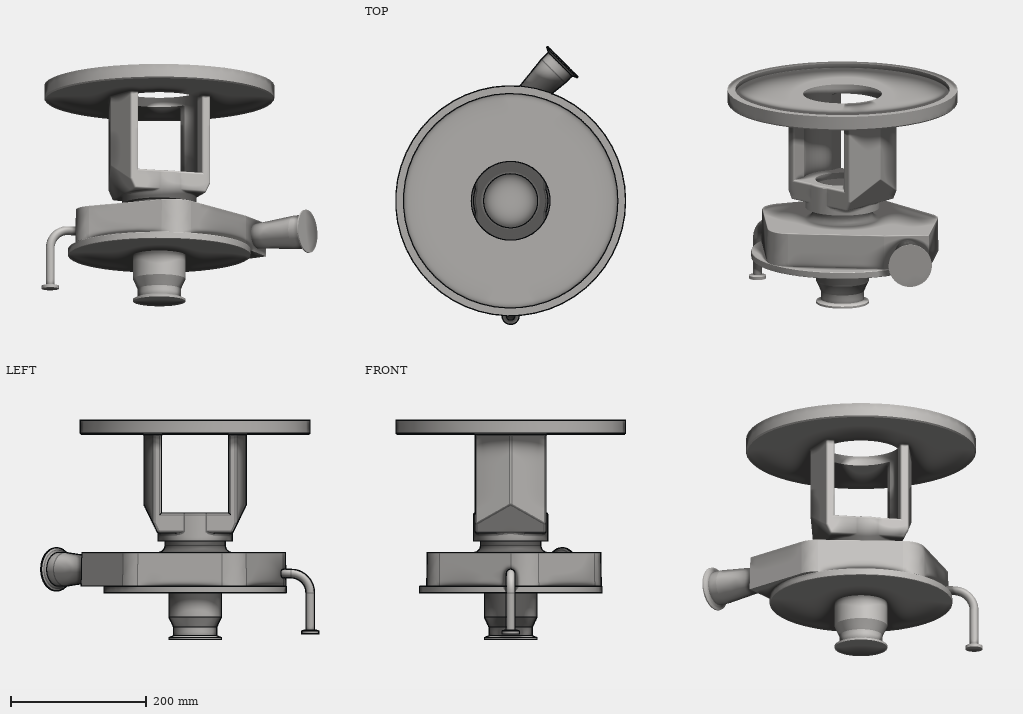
import cadquery as cq
import math

TOTAL_HEIGHT = 324.5
FLANGE_BOTTOM_Z = 69.0
FLANGE_THICKNESS = 10.0
HOUSING_HEIGHT = 50.0
NECK_HEIGHT = 16.7
FLANGE_TOP_Z = FLANGE_BOTTOM_Z + FLANGE_THICKNESS
HOUSING_TOP_Z = FLANGE_TOP_Z + HOUSING_HEIGHT
BOSS_BOTTOM_Z = HOUSING_TOP_Z + NECK_HEIGHT

DISC_RADIUS = 170.0
DISC_THICKNESS = 21.0
DISC_EDGE_CHAMFER = 2.0
DISC_RECESS_RADIUS = 158.5
DISC_RECESS_DEPTH = 7.0
DISC_RECESS_FILLET = 0.5
DISC_BORE_RADIUS = 58.2
DISC_BOTTOM_Z = TOTAL_HEIGHT - DISC_THICKNESS

YOKE_HALF_WIDTH = 52.5
YOKE_RIDGE_Y = 76.0
YOKE_CORNER_Y = 61.5
YOKE_FOOT_Y = 55.3
YOKE_BOTTOM_Z = 157.5
YOKE_SLOPE_TOP_Z = 200.0
YOKE_FILLET = 3.0
YOKE_RIDGE_FILLET = 7.0
YOKE_TOP_FLARE = 2.0
WINDOW_HALF_WIDTH = 49.5
WINDOW_FLOOR_Z = 187.5

BOSS_RADIUS = 55.0
BOSS_POCKET_RADIUS = 40.0
BOSS_POCKET_DEPTH = 9.0
BOSS_SEAM_FILLET = 2.5
NECK_RADIUS = 44.8
NECK_FILLET = 10.0

FLANGE_RADIUS = 135.0
FLANGE_CHAMFER = 0.7
HOUSING_DRAFT_DEG = 1.0
HOUSING_EDGE_FILLET = 1.0
HOUSING_CORNERS = [
    (-5.5, 168.5, 0.0),
    (-104.2, 99.0, 33.0),
    (-127.5, -64.5, 35.0),
    (23.5, -142.5, 35.0),
    (145.0, -16.6, 35.0),
    (42.0, 121.5, 0.0),
]

PICK_MARGIN = 1.0
PICK_TOLERANCE = 0.01

INLET_RADIUS = 39.0
INLET_END_RADIUS = 32.0
INLET_CONE_TOP_Z = 33.5
INLET_CONE_BOTTOM_Z = 18.5
INLET_FERRULE_RADIUS = 39.0
INLET_FERRULE_RIM = 3.0
INLET_FERRULE_HEIGHT = 6.0

OUTLET_Z = FLANGE_TOP_Z + HOUSING_HEIGHT / 2
OUTLET_OFFSET = 90.9
OUTLET_ANGLE_DEG = 45.0
OUTLET_END = 199.9
OUTLET_CONE_END = 180.0
OUTLET_START = 100.0
OUTLET_START_RADIUS = 16.5
OUTLET_RADIUS = 25.0
OUTLET_FERRULE_RADIUS = 32.0
OUTLET_FERRULE_RIM = 2.0
OUTLET_FERRULE_STEP_RADIUS = 28.5
OUTLET_FERRULE_STEP = 3.5
OUTLET_FERRULE_LENGTH = 5.5

DRAIN_RADIUS = 6.5
DRAIN_Z = 97.7
DRAIN_BEND_RADIUS = 28.5
DRAIN_DROP_Y = -170.0
DRAIN_START_Y = -110.0
DRAIN_BOTTOM_Z = 8.6
DRAIN_FERRULE_RADIUS = 12.75
DRAIN_FERRULE_RIM = 4.5
DRAIN_FERRULE_HEIGHT = 6.0


def cylinder(radius, bottom_z, top_z):
    return cq.Workplane("XY").workplane(offset=bottom_z).circle(radius).extrude(top_z - bottom_z)


def turned(profile):
    """Solid of revolution about Z from (radius, z) corners."""
    return cq.Workplane("XZ").polyline(profile).close().revolve(360, (0, 0), (0, 1))


def make_disc():
    disc = cylinder(DISC_RADIUS, DISC_BOTTOM_Z, TOTAL_HEIGHT).faces("<Z").chamfer(DISC_EDGE_CHAMFER)
    recess = cylinder(DISC_RECESS_RADIUS, TOTAL_HEIGHT - DISC_RECESS_DEPTH, TOTAL_HEIGHT)
    return disc.cut(recess.faces("<Z").edges().fillet(DISC_RECESS_FILLET))


def yoke_outline():
    right = [(0, YOKE_RIDGE_Y), (YOKE_HALF_WIDTH, YOKE_CORNER_Y), (YOKE_HALF_WIDTH, -YOKE_CORNER_Y)]
    left = [(-x, -y) for x, y in right]
    return right + left


def make_yoke_body():
    """Ridged block with sloping feet and rounded edges, before the window is cut."""
    height = DISC_BOTTOM_Z - YOKE_BOTTOM_Z
    base = cq.Workplane("XY").workplane(offset=YOKE_BOTTOM_Z)
    prism = base.polyline(yoke_outline()).close().extrude(height)
    side = [
        (YOKE_FOOT_Y, YOKE_BOTTOM_Z),
        (YOKE_RIDGE_Y, YOKE_SLOPE_TOP_Z),
        (YOKE_RIDGE_Y, DISC_BOTTOM_Z),
    ]
    mirrored = [(-y, z) for y, z in reversed(side)]
    profile = cq.Workplane("YZ").polyline(side + mirrored).close().extrude(YOKE_HALF_WIDTH, both=True)
    yoke = prism.intersect(profile)
    for end in (1, -1):
        ridge_point = (0, end * YOKE_RIDGE_Y, (YOKE_SLOPE_TOP_Z + DISC_BOTTOM_Z) / 2)
        yoke = yoke.edges(cq.NearestToPointSelector(ridge_point)).fillet(YOKE_RIDGE_FILLET)
    below_top = cq.selectors.BoxSelector(
        (-DISC_RADIUS, -DISC_RADIUS, 0), (DISC_RADIUS, DISC_RADIUS, DISC_BOTTOM_Z - YOKE_FILLET)
    )
    return yoke.edges(below_top).fillet(YOKE_FILLET)


def is_boss_seam(edge):
    """True for an edge where the yoke meets the boss wall, above the boss bottom and below its top."""
    points = [edge.positionAt(fraction) for fraction in (0, 0.3, 0.5, 0.8, 1)]
    on_wall = all(abs(math.hypot(p.x, p.y) - BOSS_RADIUS) < PICK_TOLERANCE for p in points)
    below_top = min(p.z for p in points) < WINDOW_FLOOR_Z - PICK_TOLERANCE
    above_bottom = min(p.z for p in points) > BOSS_BOTTOM_Z + PICK_TOLERANCE
    return on_wall and below_top and above_bottom


def make_yoke_with_boss():
    yoke = make_yoke_body().union(cylinder(BOSS_RADIUS, BOSS_BOTTOM_Z, WINDOW_FLOOR_Z))
    seams = [edge for edge in yoke.edges().vals() if is_boss_seam(edge)]
    yoke = yoke.newObject(seams).fillet(BOSS_SEAM_FILLET)
    window_height = DISC_BOTTOM_Z - WINDOW_FLOOR_Z
    window = (
        cq.Workplane("XY")
        .workplane(offset=WINDOW_FLOOR_Z)
        .rect(2 * DISC_RADIUS, 2 * WINDOW_HALF_WIDTH)
        .extrude(window_height)
    )
    yoke = yoke.cut(window)
    inner_x = YOKE_HALF_WIDTH - PICK_MARGIN
    outer_x = BOSS_RADIUS + PICK_MARGIN
    reach_y = WINDOW_HALF_WIDTH + PICK_MARGIN
    for side in (1, -1):
        window_edges = cq.selectors.BoxSelector(
            (side * inner_x, -reach_y, WINDOW_FLOOR_Z - PICK_MARGIN),
            (side * outer_x, reach_y, DISC_BOTTOM_Z - PICK_MARGIN),
        )
        yoke = yoke.edges(window_edges).fillet(YOKE_FILLET)
    return yoke


def make_housing():
    """Rounded plan outline from a sharp block, raised again with draft."""
    points = [(x, y) for x, y, _ in HOUSING_CORNERS]
    base = cq.Workplane("XY").workplane(offset=FLANGE_TOP_Z)
    sharp = base.polyline(points).close().extrude(HOUSING_HEIGHT)
    for x, y, radius in HOUSING_CORNERS:
        if radius > 0:
            corner = cq.NearestToPointSelector((x, y, FLANGE_TOP_Z + HOUSING_HEIGHT / 2))
            sharp = sharp.edges(corner).fillet(radius)
    base_outline = sharp.faces("<Z").wires().toPending()
    housing = base_outline.extrude(HOUSING_HEIGHT, taper=HOUSING_DRAFT_DEG, combine=False)
    return housing.faces(">Z").edges().fillet(HOUSING_EDGE_FILLET)


def make_neck():
    flare_radius = NECK_RADIUS + NECK_FILLET
    mid = NECK_FILLET * math.sqrt(0.5)
    return (
        cq.Workplane("XZ")
        .moveTo(0, HOUSING_TOP_Z)
        .lineTo(flare_radius, HOUSING_TOP_Z)
        .threePointArc(
            (flare_radius - mid, HOUSING_TOP_Z + NECK_FILLET - mid),
            (NECK_RADIUS, HOUSING_TOP_Z + NECK_FILLET),
        )
        .lineTo(NECK_RADIUS, BOSS_BOTTOM_Z)
        .lineTo(0, BOSS_BOTTOM_Z)
        .close()
        .revolve(360, (0, 0), (0, 1))
    )


def make_inlet():
    return turned([
        (0, 0),
        (INLET_FERRULE_RADIUS, 0),
        (INLET_FERRULE_RADIUS, INLET_FERRULE_RIM),
        (INLET_END_RADIUS, INLET_FERRULE_HEIGHT),
        (INLET_END_RADIUS, INLET_CONE_BOTTOM_Z),
        (INLET_RADIUS, INLET_CONE_TOP_Z),
        (INLET_RADIUS, FLANGE_BOTTOM_Z),
        (0, FLANGE_BOTTOM_Z),
    ])


def make_outlet():
    """Widening pipe with a clamp ferrule, turned about Z and then laid along its own direction."""
    pipe = turned([
        (0, OUTLET_START),
        (OUTLET_START_RADIUS, OUTLET_START),
        (OUTLET_RADIUS, OUTLET_CONE_END),
        (OUTLET_RADIUS, OUTLET_END - OUTLET_FERRULE_LENGTH),
        (OUTLET_FERRULE_STEP_RADIUS, OUTLET_END - OUTLET_FERRULE_STEP),
        (OUTLET_FERRULE_RADIUS, OUTLET_END - OUTLET_FERRULE_RIM),
        (OUTLET_FERRULE_RADIUS, OUTLET_END),
        (0, OUTLET_END),
    ])
    along_x = pipe.rotate((0, 0, 0), (0, 1, 0), 90)
    placed = along_x.translate((0, OUTLET_OFFSET, OUTLET_Z))
    return placed.rotate((0, 0, 0), (0, 0, 1), OUTLET_ANGLE_DEG)


def make_drain():
    bend_start_y = DRAIN_DROP_Y + DRAIN_BEND_RADIUS
    bend_mid = DRAIN_BEND_RADIUS * (1 - math.sqrt(0.5))
    path = (
        cq.Workplane("YZ")
        .moveTo(DRAIN_START_Y, DRAIN_Z)
        .lineTo(bend_start_y, DRAIN_Z)
        .threePointArc(
            (DRAIN_DROP_Y + bend_mid, DRAIN_Z - bend_mid),
            (DRAIN_DROP_Y, DRAIN_Z - DRAIN_BEND_RADIUS),
        )
        .lineTo(DRAIN_DROP_Y, DRAIN_BOTTOM_Z)
    )
    tube = cq.Workplane("XZ", origin=(0, DRAIN_START_Y, DRAIN_Z)).circle(DRAIN_RADIUS).sweep(path)
    ferrule = turned([
        (0, DRAIN_BOTTOM_Z),
        (DRAIN_FERRULE_RADIUS, DRAIN_BOTTOM_Z),
        (DRAIN_FERRULE_RADIUS, DRAIN_BOTTOM_Z + DRAIN_FERRULE_RIM),
        (DRAIN_RADIUS, DRAIN_BOTTOM_Z + DRAIN_FERRULE_HEIGHT),
        (0, DRAIN_BOTTOM_Z + DRAIN_FERRULE_HEIGHT),
    ])
    return tube.union(ferrule.translate((0, DRAIN_DROP_Y, 0)))


def make_part():
    bore = cylinder(DISC_BORE_RADIUS, WINDOW_FLOOR_Z, TOTAL_HEIGHT)
    pocket = cylinder(BOSS_POCKET_RADIUS, WINDOW_FLOOR_Z - BOSS_POCKET_DEPTH, WINDOW_FLOOR_Z)
    flange = cylinder(FLANGE_RADIUS, FLANGE_BOTTOM_Z, FLANGE_TOP_Z).edges().chamfer(FLANGE_CHAMFER)
    head = make_yoke_with_boss().union(make_disc())
    arm_tops = cq.selectors.BoxSelector(
        (-DISC_RADIUS, -YOKE_RIDGE_Y - PICK_MARGIN, DISC_BOTTOM_Z - PICK_TOLERANCE),
        (DISC_RADIUS, YOKE_RIDGE_Y + PICK_MARGIN, DISC_BOTTOM_Z + PICK_TOLERANCE),
    )
    head = head.edges(arm_tops).edges("not %CIRCLE").fillet(YOKE_TOP_FLARE)
    head = head.cut(bore).cut(pocket)
    body = make_housing().union(flange).union(make_neck()).union(make_inlet())
    body = body.union(make_outlet()).union(make_drain())
    return head.union(body)


result = make_part()